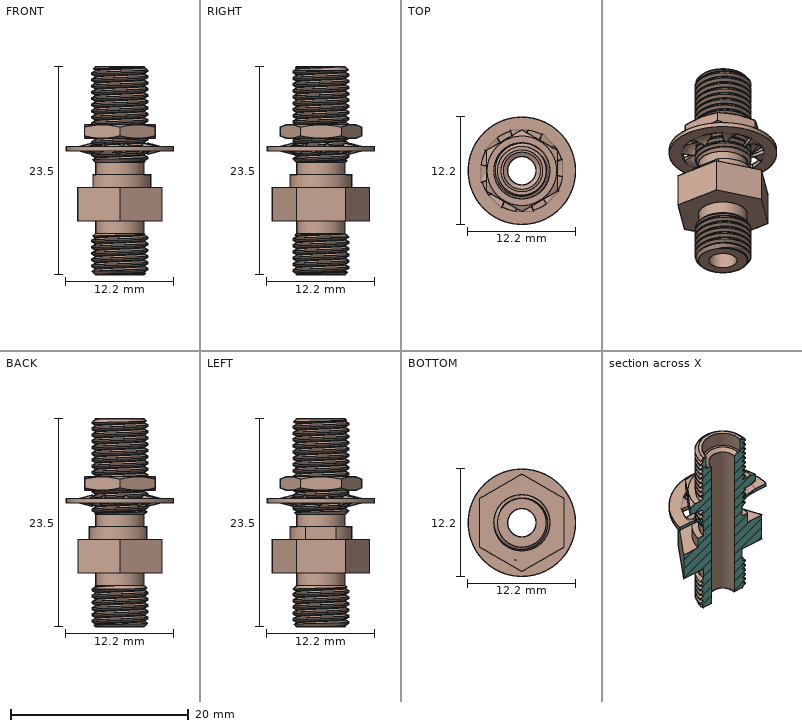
import cadquery as cq
import math

TOTAL_HEIGHT = 23.5
SHANK_RADIUS = 2.75

INCH = 25.4
TURNS_PER_INCH = 36
THREAD_RADIUS = 3.175
THREAD_PITCH = INCH / TURNS_PER_INCH
THREAD_DEPTH = 0.38
CREST_WIDTH = 0.17
FLANK_ANGLE = 30.0
CUTTER_OVERSHOOT = 0.05
ROD_ALLOWANCE = 2.5
LOWER_THREAD_TOP = 4.67
UPPER_THREAD_BOTTOM = 12.68
LOWER_GROOVE_PHASE = 0.29
UPPER_GROOVE_PHASE = 0.17

HEX_BOTTOM = 6.06
HEX_TOP = 9.88
HEX_ACROSS_FLATS = 9.53
COLLAR_TOP = 11.32
COLLAR_RADIUS = 3.5
COLLAR_FLAT_DISTANCE = 3.05

NUT_BOTTOM = 15.4
NUT_THICKNESS = 1.57
NUT_ACROSS_FLATS = 8.0
NUT_FACE_RADIUS = 3.925
NUT_CHAMFER_ANGLE = 23.0

WASHER_BOTTOM = 13.98
WASHER_THICKNESS = 0.52
WASHER_RADIUS = 6.08
WASHER_HOLE_RADIUS = 4.65
TOOTH_COUNT = 8
TOOTH_ROOT_DISTANCE = 4.6
TOOTH_TIP_DISTANCE = 3.1
TOOTH_ROOT_START = -0.68
TOOTH_ROOT_END = 1.33
TOOTH_OVERLAP = 0.2
TOOTH_TIP_CENTER = 0.25
TOOTH_TIP_WIDTH = 1.5
TOOTH_TIP_THICKNESS = 0.3
TOOTH_TWIST = 48.0

BORE_RADIUS = 1.59
SOCKET_RADIUS = 2.36
SOCKET_DEPTH = 1.9
CONE_RADIUS = 2.1
CONE_DEPTH = 0.3


def disc(radius, bottom, top):
    """Solid upright cylinder on the part axis."""
    return cq.Workplane("XY").workplane(offset=bottom).circle(radius).extrude(top - bottom)


def hexagon(across_flats, bottom, top):
    """Solid hexagonal prism with flats facing -X and +X."""
    across_corners = across_flats / math.cos(math.radians(30))
    prism = cq.Workplane("XY").polygon(6, across_corners).extrude(top - bottom)
    return prism.rotate((0, 0, 0), (0, 0, 1), 30).translate((0, 0, bottom))


def thread_groove(start, end, phase):
    """Helical cutter for the groove; phase is the groove height above start on the +X side."""
    turns = math.ceil((end - start) / THREAD_PITCH) + 2
    flank_slope = math.tan(math.radians(FLANK_ANGLE))
    root_half = (THREAD_PITCH - CREST_WIDTH) / 2 - THREAD_DEPTH * flank_slope
    mouth_half = root_half + (THREAD_DEPTH + CUTTER_OVERSHOOT) * flank_slope
    root_radius = THREAD_RADIUS - THREAD_DEPTH
    mouth_radius = THREAD_RADIUS + CUTTER_OVERSHOOT
    profile = [
        (root_radius, -root_half),
        (mouth_radius, -mouth_half),
        (mouth_radius, mouth_half),
        (root_radius, root_half),
    ]
    path = cq.Wire.makeHelix(THREAD_PITCH, turns * THREAD_PITCH, THREAD_RADIUS)
    groove = cq.Workplane("XZ").polyline(profile).close().sweep(cq.Workplane(path), isFrenet=True)
    return groove.translate((0, 0, start - THREAD_PITCH + phase))


def threaded_rod(bottom, top, phase):
    """Threaded cylinder chamfered at 45 degrees down to the shank radius at both ends."""
    envelope = disc(THREAD_RADIUS, bottom, top).edges().chamfer(THREAD_RADIUS - SHANK_RADIUS)
    rod = disc(THREAD_RADIUS, bottom - ROD_ALLOWANCE, top + ROD_ALLOWANCE)
    return rod.cut(thread_groove(bottom, top, phase)).intersect(envelope)


def collar():
    """Round collar with one flat facing -X."""
    block = cq.Workplane("XY").box(
        COLLAR_FLAT_DISTANCE + COLLAR_RADIUS,
        2 * COLLAR_RADIUS,
        COLLAR_TOP - HEX_TOP,
        centered=(False, True, False),
    )
    block = block.translate((-COLLAR_FLAT_DISTANCE, 0, HEX_TOP))
    return disc(COLLAR_RADIUS, HEX_TOP, COLLAR_TOP).intersect(block)


def nut():
    """Hexagonal nut with its corners bevelled on both faces."""
    top = NUT_BOTTOM + NUT_THICKNESS
    bevel_drop = NUT_THICKNESS / 2
    outer_radius = NUT_FACE_RADIUS + bevel_drop / math.tan(math.radians(NUT_CHAMFER_ANGLE))
    envelope = (
        cq.Workplane("XZ")
        .moveTo(0, NUT_BOTTOM)
        .lineTo(NUT_FACE_RADIUS, NUT_BOTTOM)
        .lineTo(outer_radius, NUT_BOTTOM + bevel_drop)
        .lineTo(NUT_FACE_RADIUS, top)
        .lineTo(0, top)
        .close()
        .revolve()
    )
    return hexagon(NUT_ACROSS_FLATS, NUT_BOTTOM, top).intersect(envelope)


def washer_tooth():
    """One tooth on the +X side, pointing inward from the ring and twisted about its length."""
    half = WASHER_THICKNESS / 2
    root_corners = [
        (TOOTH_ROOT_START, -half),
        (TOOTH_ROOT_END, -half),
        (TOOTH_ROOT_END, half),
        (TOOTH_ROOT_START, half),
    ]
    root = cq.Workplane("YZ").workplane(offset=TOOTH_ROOT_DISTANCE).polyline(root_corners).close()
    anchor = root.extrude(TOOTH_OVERLAP)
    tip = (
        cq.Workplane("YZ")
        .workplane(offset=TOOTH_TIP_DISTANCE)
        .center(TOOTH_TIP_CENTER, 0)
        .transformed(rotate=(0, 0, TOOTH_TWIST))
        .rect(TOOTH_TIP_WIDTH, TOOTH_TIP_THICKNESS)
    )
    blade = cq.Solid.makeLoft([root.wire().val(), tip.wires().val()], True)
    return anchor.union(cq.Workplane(blade))


def washer():
    """Flat ring with evenly spaced twisted teeth reaching the thread."""
    half = WASHER_THICKNESS / 2
    ring = disc(WASHER_RADIUS, -half, half).cut(disc(WASHER_HOLE_RADIUS, -half, half))
    tooth = washer_tooth()
    for index in range(TOOTH_COUNT):
        ring = ring.union(tooth.rotate((0, 0, 0), (0, 0, 1), index * 360 / TOOTH_COUNT))
    return ring.translate((0, 0, WASHER_BOTTOM + half))


def bore():
    """Through hole with a wider socket and a short cone at the upper end."""
    socket_floor = TOTAL_HEIGHT - SOCKET_DEPTH
    return (
        cq.Workplane("XZ")
        .lineTo(BORE_RADIUS, 0)
        .lineTo(BORE_RADIUS, socket_floor - CONE_DEPTH)
        .lineTo(CONE_RADIUS, socket_floor)
        .lineTo(SOCKET_RADIUS, socket_floor)
        .lineTo(SOCKET_RADIUS, TOTAL_HEIGHT)
        .lineTo(0, TOTAL_HEIGHT)
        .close()
        .revolve()
    )


result = (
    disc(SHANK_RADIUS, LOWER_THREAD_TOP, UPPER_THREAD_BOTTOM)
    .union(threaded_rod(0, LOWER_THREAD_TOP, LOWER_GROOVE_PHASE))
    .union(threaded_rod(UPPER_THREAD_BOTTOM, TOTAL_HEIGHT, UPPER_GROOVE_PHASE))
    .union(hexagon(HEX_ACROSS_FLATS, HEX_BOTTOM, HEX_TOP))
    .union(collar())
    .union(nut())
    .union(washer())
    .cut(bore())
)